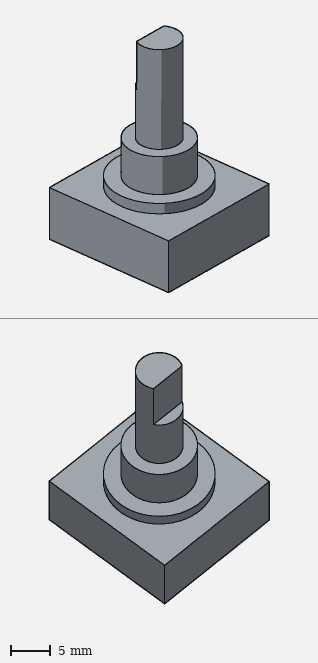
import cadquery as cq

total_height = 29.0

body_length = 20.0
body_width = 19.0
body_height = 7.5

flange_diameter = 14.0
flange_height = 1.5
collar_diameter = 9.6
collar_height = 5.5
shaft_diameter = 6.0

flat_offset = 1.5
flat_height = 7.0

flange_top = body_height + flange_height
collar_top = flange_top + collar_height
shaft_height = total_height - collar_top


def cylinder(diameter, bottom, height):
    """Upright cylinder on the Z axis."""
    return cq.Workplane("XY").workplane(offset=bottom).circle(diameter / 2).extrude(height)


def make_flat_cutter():
    """Block that removes everything beyond the flat at the shaft tip."""
    shaft_radius = shaft_diameter / 2
    return (
        cq.Workplane("XY")
        .box(shaft_radius, shaft_diameter, flat_height, centered=(False, True, False))
        .translate((-flat_offset - shaft_radius, 0, total_height - flat_height))
    )


body = cq.Workplane("XY").box(body_length, body_width, body_height, centered=(True, True, False))
flange = cylinder(flange_diameter, body_height, flange_height)
collar = cylinder(collar_diameter, flange_top, collar_height)
shaft = cylinder(shaft_diameter, collar_top, shaft_height).cut(make_flat_cutter())

result = body.union(flange).union(collar).union(shaft)